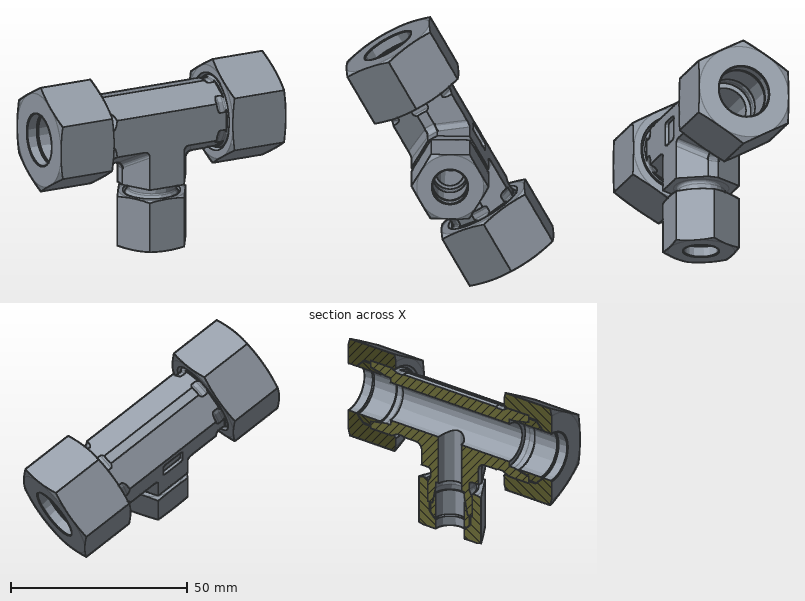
import cadquery as cq
import math


nut_face = 36.0
body_depth = 8.0
socket_depth = 7.0
nose_length = 3.5
clamp_start = 3.1
ring_setback = 3.75
mouth_chamfer = 0.2
countersink_step = 0.2
hex_turn = 30.0
hex_chamfer_angle = 15.0
cone_angle = 12.0
relief_angle = 30.0
relief_radius = 1.0
neck_length = 1.4
body_end = nut_face - body_depth

body_flats = 19.0
body_height = 20.2
hex_clip_end = 19.0
crotch_radius = 2.0
clear_radius = body_flats
recess_size = 7.1
recess_corner = 1.0
recess_depth = 1.0
recess_center_z = -0.9

run = dict(
    tube=15.0, bore=12.0, seat=17.3, neck=19.7, thread=22.0, ring=20.0, nut_bore=20.4,
    shoulder=16.0, nut_flats=27.0, nut_length=17.0,
)
branch = dict(
    tube=10.0, bore=8.0, seat=12.3, neck=13.7, thread=16.0, ring=14.0, nut_bore=14.4,
    shoulder=17.0, nut_flats=19.0, nut_length=15.5,
)


def tan(degrees):
    return math.tan(math.radians(degrees))


def to_run(shape, side):
    """Turn a shape from +Z to +Y (side = 1) or -Y (side = -1)."""
    return shape.rotate((0, 0, 0), (1, 0, 0), -90 * side)


def to_branch(shape):
    """Turn a shape from +Z to -Z."""
    return shape.rotate((0, 0, 0), (1, 0, 0), 180)


def spin(outline):
    """Revolve a closed (radius, height) outline about Z."""
    return outline.close().revolve(360, (0, 0), (0, 1))


def turned_stub(port):
    """Full-round outside of a port: shoulder, necked thread relief and thread."""
    neck = port["neck"] / 2
    thread = port["thread"] / 2
    neck_start = port["shoulder"] + relief_radius
    neck_end = neck_start + neck_length
    slope = math.radians(relief_angle)
    half = slope / 2
    cone_radius = neck + relief_radius * (1 - math.cos(slope))
    cone_start = neck_end + relief_radius * math.sin(slope)
    thread_start = cone_start + (thread - cone_radius) / math.tan(slope)
    corner = relief_radius * (1 - math.sqrt(0.5))
    return spin(
        cq.Workplane("XZ")
        .lineTo(clear_radius, 0)
        .lineTo(clear_radius, port["shoulder"])
        .lineTo(neck + relief_radius, port["shoulder"])
        .threePointArc((neck + corner, port["shoulder"] + corner), (neck, neck_start))
        .lineTo(neck, neck_end)
        .threePointArc(
            (neck + relief_radius * (1 - math.cos(half)), neck_end + relief_radius * math.sin(half)),
            (cone_radius, cone_start),
        )
        .lineTo(thread, thread_start)
        .lineTo(thread, body_end)
        .lineTo(0, body_end)
    )


def hex_bar(start, length):
    """Hexagonal bar along Z with flats on +-X and its two Y corners cut flat."""
    corners = body_flats / math.cos(math.radians(hex_turn))
    bar = cq.Workplane("XY").workplane(offset=start).polygon(6, corners).extrude(length)
    bar = bar.rotate((0, 0, 0), (0, 0, 1), hex_turn)
    limits = cq.Workplane("XY").workplane(offset=start).rect(corners, body_height).extrude(length)
    return bar.intersect(limits)


def collar(port):
    """Turned end of a port, beyond the hexagonal part."""
    beyond = cq.Workplane("XY").workplane(offset=hex_clip_end).circle(clear_radius).extrude(body_end)
    return turned_stub(port).intersect(beyond)


def port_bore(port):
    """Through bore, tube socket and conical seat of a port."""
    tube = port["tube"] / 2
    seat = port["seat"] / 2
    bore = port["bore"] / 2
    socket_floor = body_end - socket_depth
    return spin(
        cq.Workplane("XZ")
        .lineTo(bore, 0)
        .lineTo(bore, socket_floor)
        .lineTo(tube, socket_floor)
        .lineTo(tube, body_end - (seat - tube) / tan(cone_angle))
        .lineTo(seat, body_end)
        .lineTo(0, body_end)
    )


def crotch_edges(body):
    """Inner edges where the branch leaves the run; they lie on the planes |y| = -z."""
    tolerance = 0.001
    return [
        edge
        for edge in body.edges().vals()
        if all(abs(abs(corner.Y) + corner.Z) < tolerance for corner in edge.Vertices())
    ]


def make_body():
    run_bar = to_run(hex_bar(-hex_clip_end, 2 * hex_clip_end), 1)
    branch_bar = to_branch(hex_bar(0, hex_clip_end).intersect(turned_stub(branch)))

    turned_run = to_run(turned_stub(run), 1).union(to_run(turned_stub(run), -1))
    body = run_bar.intersect(turned_run).union(branch_bar)
    body = body.newObject(crotch_edges(body)).fillet(crotch_radius)

    body = body.union(to_run(collar(run), 1)).union(to_run(collar(run), -1))
    body = body.union(to_branch(collar(branch)))

    body = body.cut(to_run(port_bore(run), 1)).cut(to_run(port_bore(run), -1))
    body = body.cut(to_branch(port_bore(branch)))

    recess = (
        cq.Workplane("XY")
        .box(2 * recess_depth, recess_size, recess_size)
        .edges("|X")
        .fillet(recess_corner)
        .translate((-body_flats / 2, 0, recess_center_z))
    )
    return body.cut(recess)


def make_nut(port):
    """Hexagonal union nut with chamfered ends, clamping cone and threaded bore."""
    flats = port["nut_flats"] / 2
    corner = flats / math.cos(math.radians(hex_turn))
    drop = (corner - flats) * tan(hex_chamfer_angle)
    inner_face = nut_face - port["nut_length"]
    tube = port["tube"] / 2
    thread_bore = port["nut_bore"] / 2
    countersink = port["thread"] / 2 + countersink_step
    cone_start = nut_face - clamp_start

    blank = cq.Workplane("XY").workplane(offset=inner_face).polygon(6, 2 * corner)
    blank = blank.extrude(port["nut_length"]).rotate((0, 0, 0), (0, 0, 1), hex_turn)
    chamfered = spin(
        cq.Workplane("XZ")
        .moveTo(0, inner_face)
        .lineTo(flats, inner_face)
        .lineTo(corner, inner_face + drop)
        .lineTo(corner, nut_face - drop)
        .lineTo(flats, nut_face)
        .lineTo(0, nut_face)
    )
    cavity = spin(
        cq.Workplane("XZ")
        .moveTo(0, inner_face)
        .lineTo(countersink, inner_face)
        .lineTo(thread_bore, inner_face + countersink - thread_bore)
        .lineTo(thread_bore, cone_start - (thread_bore - tube))
        .lineTo(tube, cone_start)
        .lineTo(tube, nut_face - mouth_chamfer)
        .lineTo(tube + mouth_chamfer, nut_face)
        .lineTo(0, nut_face)
    )
    return blank.intersect(chamfered).cut(cavity).cut(turned_stub(port))


def make_cutting_ring(port):
    """Ring between the clamping cone of the nut, the end face and the seat of the body."""
    tube = port["tube"] / 2
    seat = port["seat"] / 2
    outside = port["ring"] / 2
    cone_start = nut_face - clamp_start
    front = nut_face - ring_setback
    return spin(
        cq.Workplane("XZ")
        .moveTo(tube, front)
        .lineTo(tube + cone_start - front, front)
        .lineTo(outside, cone_start - (outside - tube))
        .lineTo(outside, body_end)
        .lineTo(seat, body_end)
        .lineTo(seat - nose_length * tan(cone_angle), body_end - nose_length)
        .lineTo(tube, body_end - nose_length)
    )


body = make_body()
nuts = [to_run(make_nut(run), side) for side in (1, -1)] + [to_branch(make_nut(branch))]
cutting_rings = [to_run(make_cutting_ring(run), side) for side in (1, -1)]
cutting_rings.append(to_branch(make_cutting_ring(branch)))

result = cq.Compound.makeCompound([part.val() for part in [body, *nuts, *cutting_rings]])